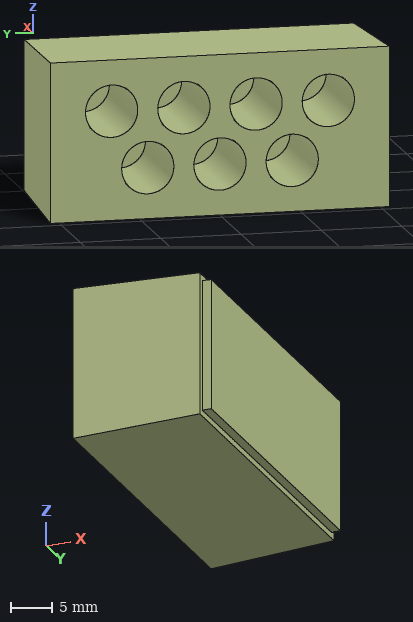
import cadquery as cq

body_width = 42.2
body_height = 19.9
total_length = 17.7
pad_thickness = 1.2
body_length = total_length - pad_thickness
draft_angle = 2.0

pad_width = 39.5
pad_height = 17.18

hole_diameter = 6.5
hole_depth = 15.02
hole_pitch = 9.0
row_spacing = 7.2
upper_row_count = 4
lower_row_count = 3


def hole_row(count, height):
    """Centres (Y, Z) of a row of holes centred on Y = 0."""
    first = -(count - 1) * hole_pitch / 2
    return [(first + i * hole_pitch, height) for i in range(count)]


body = (
    cq.Workplane("YZ")
    .rect(body_width, body_height)
    .extrude(body_length, taper=draft_angle)
)

pad = (
    cq.Workplane("YZ")
    .workplane(offset=body_length)
    .rect(pad_width, pad_height)
    .extrude(pad_thickness)
)

hole_centres = hole_row(upper_row_count, row_spacing / 2) + hole_row(lower_row_count, -row_spacing / 2)
holes = (
    cq.Workplane("YZ")
    .pushPoints(hole_centres)
    .circle(hole_diameter / 2)
    .extrude(hole_depth)
)

result = body.union(pad).cut(holes)